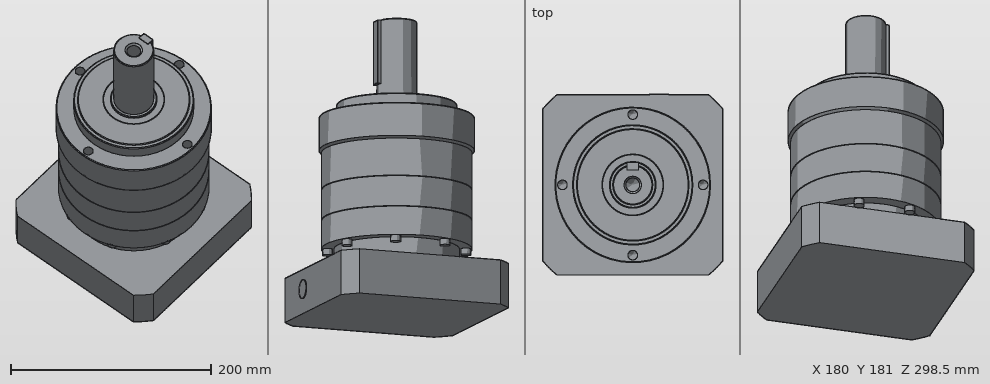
import cadquery as cq
import math

BASE_SIDE = 180.0
BASE_HEIGHT = 45.0
BASE_CORNER_RADIUS = 117.5

PLUG_RADIUS = 9.5
PLUG_PROJECTION = 1.0
PLUG_X = 26.3
PLUG_Z = 24.8

BODY_BOTTOM_Z = 67.2
FLANGE_BOTTOM_Z = 165.0
FLANGE_TOP_Z = 201.2
PILOT_SHOULDER_Z = 214.3
PILOT_TOP_Z = 215.2
COLLAR_TOP_Z = 217.0
SHAFT_TOP_Z = 298.5

NECK_RADIUS = 62.7
BODY_RADIUS = 75.2
FLANGE_RADIUS = 77.5
PILOT_RADIUS = 60.0
PILOT_CAP_RADIUS = 56.0
COLLAR_RADIUS = 23.3
SHAFT_RADIUS = 20.0

EDGE_CHAMFER = 1.0

JOINT_LEVELS = (96.0, 127.2)
JOINT_DEPTH = 0.3

SEAL_RADIUS = 30.5
SEAL_GROOVE_DEPTH = 0.3

SCREW_COUNT = 8
SCREW_CIRCLE_RADIUS = 69.0
SCREW_HEAD_RADIUS = 5.0
SCREW_HEAD_HEIGHT = 6

MOUNT_HOLE_COUNT = 4
MOUNT_CIRCLE_RADIUS = 70.0
MOUNT_HOLE_RADIUS = 4.8
MOUNT_HOLE_DEPTH = 24
DRILL_POINT_ANGLE = 118

CENTRE_HOLE_RADIUS = 7.0
CENTRE_HOLE_DEPTH = 35.8
CENTRE_SINK_RADIUS = 8.7

KEY_WIDTH = 12
KEY_SEAT_Y = 15
KEY_TOP_Y = 23.0
KEYWAY_LENGTH = 65.0
KEY_END_GAP = 0.5
KEY_CHAMFER = 0.5


def make_base():
    """Square plate whose corners are cut by one large cylinder, plus its side plug."""
    plate = cq.Workplane("XY").rect(BASE_SIDE, BASE_SIDE).extrude(BASE_HEIGHT)
    corner_cylinder = cq.Workplane("XY").circle(BASE_CORNER_RADIUS).extrude(BASE_HEIGHT)
    plug_depth = 2 * PLUG_PROJECTION
    plug = (
        cq.Workplane("XZ", origin=(PLUG_X, BASE_SIDE / 2 + PLUG_PROJECTION, PLUG_Z))
        .circle(PLUG_RADIUS)
        .extrude(plug_depth)
    )
    return plate.intersect(corner_cylinder).union(plug)


def make_housing():
    """Neck, body, flange, pilot, collar and shaft as one turned profile."""
    profile = (
        cq.Workplane("XZ")
        .moveTo(0, BASE_HEIGHT)
        .lineTo(NECK_RADIUS, BASE_HEIGHT)
        .lineTo(NECK_RADIUS, BODY_BOTTOM_Z)
        .lineTo(BODY_RADIUS, BODY_BOTTOM_Z)
    )
    for level in JOINT_LEVELS:
        profile = (
            profile.lineTo(BODY_RADIUS, level - JOINT_DEPTH)
            .lineTo(BODY_RADIUS - JOINT_DEPTH, level)
            .lineTo(BODY_RADIUS, level + JOINT_DEPTH)
        )
    flange_bevel = FLANGE_RADIUS - BODY_RADIUS
    profile = (
        profile.lineTo(BODY_RADIUS, FLANGE_BOTTOM_Z)
        .lineTo(FLANGE_RADIUS, FLANGE_BOTTOM_Z + flange_bevel)
        .lineTo(FLANGE_RADIUS, FLANGE_TOP_Z - EDGE_CHAMFER)
        .lineTo(FLANGE_RADIUS - EDGE_CHAMFER, FLANGE_TOP_Z)
        .lineTo(PILOT_RADIUS, FLANGE_TOP_Z)
        .lineTo(PILOT_RADIUS, PILOT_SHOULDER_Z - EDGE_CHAMFER)
        .lineTo(PILOT_RADIUS - EDGE_CHAMFER, PILOT_SHOULDER_Z)
        .lineTo(PILOT_CAP_RADIUS, PILOT_SHOULDER_Z)
        .lineTo(PILOT_CAP_RADIUS - EDGE_CHAMFER, PILOT_TOP_Z)
        .lineTo(SEAL_RADIUS + SEAL_GROOVE_DEPTH, PILOT_TOP_Z)
        .lineTo(SEAL_RADIUS, PILOT_TOP_Z - SEAL_GROOVE_DEPTH)
        .lineTo(SEAL_RADIUS - SEAL_GROOVE_DEPTH, PILOT_TOP_Z)
        .lineTo(COLLAR_RADIUS, PILOT_TOP_Z)
        .lineTo(COLLAR_RADIUS, COLLAR_TOP_Z - EDGE_CHAMFER)
        .lineTo(COLLAR_RADIUS - EDGE_CHAMFER, COLLAR_TOP_Z)
        .lineTo(SHAFT_RADIUS, COLLAR_TOP_Z)
        .lineTo(SHAFT_RADIUS, SHAFT_TOP_Z - EDGE_CHAMFER)
        .lineTo(SHAFT_RADIUS - EDGE_CHAMFER, SHAFT_TOP_Z)
        .lineTo(0, SHAFT_TOP_Z)
        .close()
    )
    return profile.revolve(360, (0, 0, 0), (0, 1, 0))


def make_screw_heads():
    """Ring of screw heads hanging below the body, straddling the X and Y axes."""
    return (
        cq.Workplane("XY", origin=(0, 0, BODY_BOTTOM_Z - SCREW_HEAD_HEIGHT))
        .polarArray(SCREW_CIRCLE_RADIUS, 180 / SCREW_COUNT, 360, SCREW_COUNT)
        .circle(SCREW_HEAD_RADIUS)
        .extrude(SCREW_HEAD_HEIGHT)
    )


def make_drilling(radius, depth, top_z):
    """Drilled hole on the Z axis with a conical bottom."""
    point_depth = radius / math.tan(math.radians(DRILL_POINT_ANGLE / 2))
    profile = (
        cq.Workplane("XZ")
        .moveTo(0, top_z)
        .lineTo(radius, top_z)
        .lineTo(radius, top_z - depth)
        .lineTo(0, top_z - depth - point_depth)
        .close()
    )
    return profile.revolve(360, (0, 0, 0), (0, 1, 0))


def make_centre_sink():
    """45 degree countersink cone at the mouth of the shaft centre hole."""
    return (
        cq.Workplane("XZ")
        .moveTo(0, SHAFT_TOP_Z)
        .lineTo(CENTRE_SINK_RADIUS, SHAFT_TOP_Z)
        .lineTo(0, SHAFT_TOP_Z - CENTRE_SINK_RADIUS)
        .close()
        .revolve(360, (0, 0, 0), (0, 1, 0))
    )


def make_keyway():
    """Slot cut into the shaft and open at the shaft end."""
    return (
        cq.Workplane("XY")
        .box(KEY_WIDTH, KEY_TOP_Y - KEY_SEAT_Y, KEYWAY_LENGTH, centered=(True, False, False))
        .translate((0, KEY_SEAT_Y, SHAFT_TOP_Z - KEYWAY_LENGTH))
    )


def make_key():
    """Rectangular key in the keyway, ending just below the shaft end."""
    key_length = KEYWAY_LENGTH - KEY_END_GAP
    return (
        cq.Workplane("XY")
        .box(KEY_WIDTH, KEY_TOP_Y - KEY_SEAT_Y, key_length, centered=(True, False, False))
        .faces(">Y")
        .edges()
        .chamfer(KEY_CHAMFER)
        .translate((0, KEY_SEAT_Y, SHAFT_TOP_Z - KEYWAY_LENGTH))
    )


result = make_base().union(make_housing()).union(make_screw_heads())
result = result.cut(make_keyway()).union(make_key())

centre_hole = make_drilling(CENTRE_HOLE_RADIUS, CENTRE_HOLE_DEPTH, SHAFT_TOP_Z)
result = result.cut(centre_hole).cut(make_centre_sink())

mount_hole = make_drilling(MOUNT_HOLE_RADIUS, MOUNT_HOLE_DEPTH, FLANGE_TOP_Z)
mount_hole = mount_hole.translate((MOUNT_CIRCLE_RADIUS, 0, 0))
for index in range(MOUNT_HOLE_COUNT):
    angle = index * 360 / MOUNT_HOLE_COUNT
    result = result.cut(mount_hole.rotate((0, 0, 0), (0, 0, 1), angle))